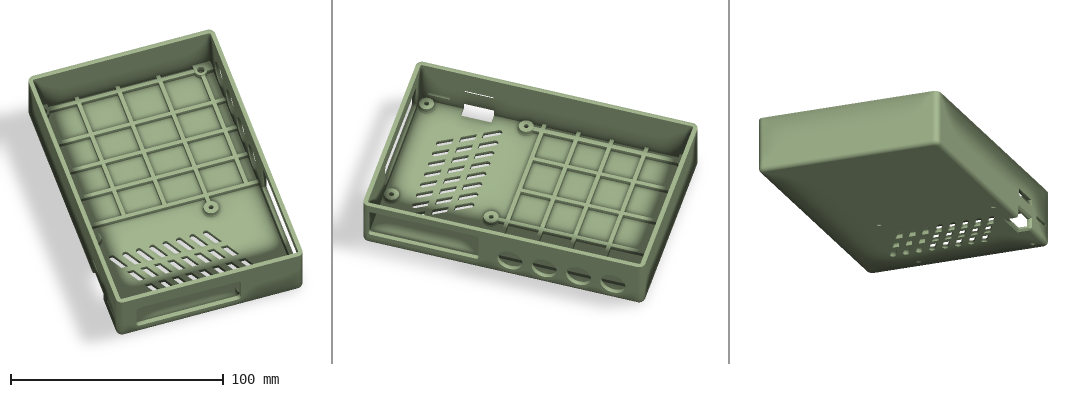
import cadquery as cq
import math

length = 138.0
width = 92.0
height = 26.9
side_wall = 2.2
end_wall = 2.1
floor_top = 2.0
corner_radius = 3.0
inner_corner_radius = 0.8
bottom_fillet = 2.0

inner_left = side_wall
inner_right = length - side_wall
inner_front = end_wall
inner_back = width - end_wall

boss_top = 4.5
boss_foot_diameter = 8.0
boss_diameter = 7.0
boss_foot_height = 0.7
boss_hole_diameter = 2.3
boss_columns = [83.0, 131.8]
front_boss_y = 6.1
back_boss_y = 64.0

rib_top = 4.0
rib_width = 2.0
front_rib_width = 2.3
rib_columns = [5.1, 25.0, 42.0, 58.2, 75.1]
rib_row_pitch = 20.1
grid_right = rib_columns[-1] + rib_width / 2
row_ribs = [
    (front_boss_y, front_rib_width, boss_columns[0]),
    (back_boss_y - 2 * rib_row_pitch, rib_width, grid_right),
    (back_boss_y - rib_row_pitch, rib_width, grid_right),
    (back_boss_y, rib_width, boss_columns[0]),
    (back_boss_y + rib_row_pitch, rib_width, grid_right),
]

post_radius = 3.0
post_x = 5.8
front_post_y = 6.2
back_post_y = 84.0
back_post_arm = 7.2
post_mouth_diameter = 3.6
post_hole_diameter = 2.3

vent_count = 8
vent_width = 2.9
vent_angle = 30.0
vent_pitch = 6.6
vent_left = 93.2
vent_right = 121.3
first_vent_y = 11.3
vent_bars = [(101.5, 104.3), (111.1, 114.1)]

round_hole_diameter = 12.4
round_hole_z = 10.5
round_hole_pitch = 16.8
first_round_hole_x = 15.0
round_hole_count = 4
back_window_left = 80.9
back_window_right = 134.8
back_window_bottom = 6.2
back_window_top = 22.6
back_window_radius = 1.1

right_window_length = 51.6
right_window_bottom = 5.0
right_window_top = 19.2
right_window_radius = 1.7

notch_left = 99.9
notch_right = 115.0
notch_depth = 6.5
notch_top = 5.5
notch_bevel = 1.0

port_left = 100.0
port_right = 115.0
port_bottom = 11.9
port_top = 15.0
port_rise = 2.0
port_corner_radius = 0.5
light_left = 121.6
light_right = 132.3
light_bottom = 7.9
light_top = 9.5
light_drop = light_top - light_bottom

overcut = 1.4


def block(x0, x1, y0, y1, z0, z1):
    return cq.Workplane("XY").box(x1 - x0, y1 - y0, z1 - z0, centered=False).translate((x0, y0, z0))


def cylinder(x, y, diameter, z0, z1):
    return cq.Workplane("XY", origin=(x, y, z0)).circle(diameter / 2).extrude(z1 - z0)


def cone(x, y, lower_diameter, upper_diameter, z0, z1):
    lower = cq.Workplane("XY", origin=(x, y, z0)).circle(lower_diameter / 2)
    return lower.workplane(offset=z1 - z0).circle(upper_diameter / 2).loft()


def make_shell():
    body = block(0, length, 0, width, 0, height).edges("|Z").fillet(corner_radius)
    body = body.faces("<Z").edges().fillet(bottom_fillet)
    cavity = block(inner_left, inner_right, inner_front, inner_back, floor_top, height + overcut)
    return body.cut(cavity.edges("|Z").fillet(inner_corner_radius))


def add_ribs(body):
    for x in rib_columns:
        left = x - rib_width / 2
        body = body.union(block(left, left + rib_width, inner_front, inner_back, floor_top, rib_top))
    for y, row_width, right_end in row_ribs:
        front = y - row_width / 2
        body = body.union(block(inner_left, right_end, front, front + row_width, floor_top, rib_top))
    return body


def add_bosses(body):
    foot_top = floor_top + boss_foot_height
    for x in boss_columns:
        for y in (front_boss_y, back_boss_y):
            body = body.union(cylinder(x, y, boss_diameter, floor_top, boss_top))
            body = body.union(cone(x, y, boss_foot_diameter, boss_diameter, floor_top, foot_top))
            body = body.cut(cylinder(x, y, boss_hole_diameter, -overcut, boss_top))
    return body


def post_hole(y):
    """Pilot hole down to the floor that widens to the mouth at the top of the post."""
    return cone(post_x, y, post_hole_diameter, post_mouth_diameter, floor_top, boss_top)


def add_posts(body):
    side = post_x + post_radius
    front_inner = front_post_y + post_radius
    front_post = block(inner_left, side, inner_front, front_inner, floor_top, boss_top)
    front_post = front_post.edges("|Z and >X and >Y").fillet(post_radius)

    back_post = cylinder(post_x, back_post_y, 2 * post_radius, floor_top, boss_top)
    back_post = back_post.union(
        block(inner_left, post_x, back_post_y - post_radius, inner_back, floor_top, boss_top))
    back_post = back_post.union(
        block(inner_left, back_post_arm, back_post_y, inner_back, floor_top, boss_top))

    body = body.union(front_post).union(back_post)
    return body.cut(post_hole(front_post_y)).cut(post_hole(back_post_y))


def cut_vents(body):
    slope = math.radians(vent_angle)
    slot_length = (vent_right - vent_left - vent_width) / math.cos(slope) + vent_width
    middle_x = (vent_left + vent_right) / 2
    middle_y = first_vent_y + (vent_right - vent_left - vent_width) / 2 * math.tan(slope)
    vents = (
        cq.Workplane("XY", origin=(0, 0, -overcut))
        .pushPoints([(middle_x, middle_y + i * vent_pitch) for i in range(vent_count)])
        .slot2D(slot_length, vent_width, vent_angle)
        .extrude(floor_top + 2 * overcut)
    )
    for left, right in vent_bars:
        vents = vents.cut(block(left, right, 0, width, -2 * overcut, floor_top + 2 * overcut))
    return body.cut(vents)


def cut_back_wall(body):
    columns = [first_round_hole_x + i * round_hole_pitch for i in range(round_hole_count)]
    holes = (
        cq.Workplane("XZ", origin=(0, width + overcut, 0))
        .pushPoints([(x, round_hole_z) for x in columns])
        .circle(round_hole_diameter / 2)
        .extrude(end_wall + 2 * overcut)
    )
    window = block(back_window_left, back_window_right, inner_back - overcut, width + overcut,
                   back_window_bottom, back_window_top)
    return body.cut(holes).cut(window.edges("|Y").fillet(back_window_radius))


def cut_right_wall(body):
    front = (front_boss_y + back_boss_y - right_window_length) / 2
    window = block(inner_right, length + overcut, front, front + right_window_length,
                   right_window_bottom, right_window_top)
    return body.cut(window.edges("|X").fillet(right_window_radius))


def cut_card_notch(body):
    notch = block(notch_left, notch_right, -overcut, notch_depth, -overcut, notch_top)
    notch_width = notch_right - notch_left
    middle_x = (notch_left + notch_right) / 2
    flare = 2 * notch_bevel
    front_bevel = (
        cq.Workplane("XZ", origin=(middle_x, notch_bevel, 0))
        .rect(notch_width, 2 * notch_top)
        .workplane(offset=notch_bevel)
        .rect(notch_width + flare, 2 * notch_top + flare)
        .loft()
    )
    bottom_bevel = (
        cq.Workplane("XY", origin=(middle_x, 0, 0))
        .rect(notch_width + flare, 2 * notch_depth + flare)
        .workplane(offset=notch_bevel)
        .rect(notch_width, 2 * notch_depth)
        .loft()
    )
    return body.cut(notch).cut(front_bevel).cut(bottom_bevel)


def wall_slot(left, right, outer_bottom, outer_top, inner_bottom, inner_top):
    """Slot through the front wall whose lower and upper faces slope evenly from outside to inside."""
    outline = [(0, outer_bottom), (0, outer_top), (end_wall, inner_top), (end_wall, inner_bottom)]
    return cq.Workplane("YZ", origin=(left, 0, 0)).polyline(outline).close().extrude(right - left)


def cut_front_wall(body):
    port = wall_slot(port_left, port_right, port_bottom, port_top, port_bottom + port_rise, port_top)
    along_slope = cq.selectors.ParallelDirSelector(cq.Vector(0, end_wall, port_rise))
    port = port.edges(along_slope).fillet(port_corner_radius)
    light = wall_slot(light_left, light_right, light_bottom, light_top,
                      light_bottom - light_drop, light_top - light_drop)
    return body.cut(port).cut(light)


result = make_shell()
result = add_ribs(result)
result = add_bosses(result)
result = add_posts(result)
result = cut_vents(result)
result = cut_back_wall(result)
result = cut_right_wall(result)
result = cut_card_notch(result)
result = cut_front_wall(result)